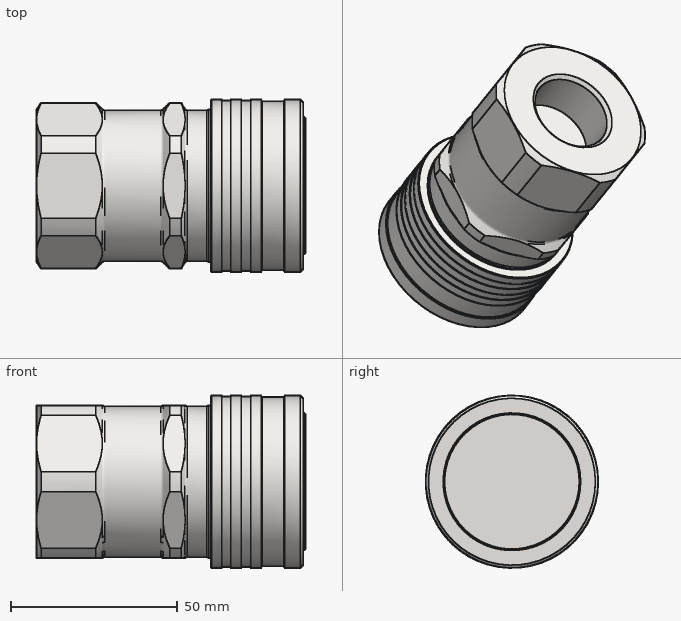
import cadquery as cq
import math


total_length = 81.0
nut_crown_start = 1.4
nut_crown_end = 17.85
collar_crown_start = 40.1
collar_crown_end = 43.6
bead_start = 51.3
bead_crest = 51.85
sleeve_start = 52.4
sleeve_end = 80.3

hex_sides = 6
across_flats = 46.0
hex_corner_radius = 25.0
inlet_face_radius = 22.9
body_radius = 22.75
bead_radius = 23.0
sleeve_radius = 26.0
lip_radius = 20.7

root_fillet = 1.0
collar_end_root_fillet = 0.8
root_angle = 45.0
collar_end_angle = 60.0
sleeve_start_chamfer = 0.3
sleeve_end_chamfer = 0.9
lip_chamfer = 0.45

grip_groove_starts = (55.7, 61.7)
grip_groove_width = 2.85
grip_groove_depth = 0.3
wide_groove_start = 67.6
wide_groove_end = 74.7
wide_groove_depth = 0.5
wide_groove_chamfer = 0.3
groove_clearance = 1.0

bore_radius = 12.05
bore_mouth_radius = 13.2
bore_depth = 15.3


def cylinder(start, end, radius):
    """Solid cylinder about the X axis."""
    return cq.Workplane("YZ", origin=(start, 0, 0)).circle(radius).extrude(end - start)


def revolve_profile(profile):
    """Revolve a closed half profile, drawn as (x, radius), about the X axis."""
    return profile.close().revolve(360, (0, 0, 0), (1, 0, 0))


def cone_root(crown_x, direction, angle, fillet):
    """Locate the fillet where a cone falls from the hexagon crown to the body.

    direction is +1 when the cone falls toward +X and -1 when it falls toward -X.
    Returns the fillet's (x, radius) points: on the cone, mid-arc, on the body.
    """
    slope = math.radians(angle)
    meeting_x = crown_x + direction * (hex_corner_radius - body_radius) / math.tan(slope)
    setback = fillet * math.tan(slope / 2)
    center_x = meeting_x + direction * setback
    center_radius = body_radius + fillet

    def arc_point(turn):
        return (
            center_x - direction * fillet * math.sin(turn),
            center_radius - fillet * math.cos(turn),
        )

    return arc_point(slope), arc_point(slope / 2), arc_point(0)


def make_body():
    """Turned body from the inlet face to the sleeve, before the flats are cut."""
    nut_root = cone_root(nut_crown_end, 1, root_angle, root_fillet)
    collar_root = cone_root(collar_crown_start, -1, root_angle, root_fillet)
    collar_end_root = cone_root(collar_crown_end, 1, collar_end_angle, collar_end_root_fillet)
    profile = (
        cq.Workplane("XY")
        .moveTo(0, 0)
        .lineTo(0, inlet_face_radius)
        .lineTo(nut_crown_start, hex_corner_radius)
        .lineTo(nut_crown_end, hex_corner_radius)
        .lineTo(*nut_root[0])
        .threePointArc(nut_root[1], nut_root[2])
        .lineTo(*collar_root[2])
        .threePointArc(collar_root[1], collar_root[0])
        .lineTo(collar_crown_start, hex_corner_radius)
        .lineTo(collar_crown_end, hex_corner_radius)
        .lineTo(*collar_end_root[0])
        .threePointArc(collar_end_root[1], collar_end_root[2])
        .lineTo(bead_start, body_radius)
        .lineTo(bead_crest, bead_radius)
        .lineTo(sleeve_start, bead_radius)
        .lineTo(sleeve_start, 0)
    )
    return revolve_profile(profile)


def cut_flats(body):
    """Trim the body to the hexagon; two flats face +Z and -Z."""
    corner_diameter = across_flats / math.cos(math.pi / hex_sides)
    hexagon = cq.Workplane("YZ").polygon(hex_sides, corner_diameter).extrude(sleeve_start)
    return body.intersect(hexagon)


def make_sleeve():
    """Locking sleeve with two grip grooves and one wide groove."""
    sleeve = cylinder(sleeve_start, sleeve_end, sleeve_radius)
    sleeve = sleeve.faces("<X").edges().chamfer(sleeve_start_chamfer)
    sleeve = sleeve.faces(">X").edges().chamfer(sleeve_end_chamfer)
    for start in grip_groove_starts:
        end = start + grip_groove_width
        ring = cylinder(start, end, sleeve_radius + groove_clearance).cut(
            cylinder(start, end, sleeve_radius - grip_groove_depth)
        )
        sleeve = sleeve.cut(ring)
    return sleeve.cut(make_wide_groove())


def make_wide_groove():
    """Ring removed by the wide groove, whose walls end in small chamfers at the floor."""
    floor_radius = sleeve_radius - wide_groove_depth
    profile = (
        cq.Workplane("XY")
        .moveTo(wide_groove_start, sleeve_radius + groove_clearance)
        .lineTo(wide_groove_start, floor_radius + wide_groove_chamfer)
        .lineTo(wide_groove_start + wide_groove_chamfer, floor_radius)
        .lineTo(wide_groove_end - wide_groove_chamfer, floor_radius)
        .lineTo(wide_groove_end, floor_radius + wide_groove_chamfer)
        .lineTo(wide_groove_end, sleeve_radius + groove_clearance)
    )
    return revolve_profile(profile)


def make_lip():
    """Low round lip on the outlet end."""
    return cylinder(sleeve_end, total_length, lip_radius).faces(">X").edges().chamfer(lip_chamfer)


def make_bore():
    """Blind inlet bore with a 45 degree lead-in."""
    lead_in = bore_mouth_radius - bore_radius
    profile = (
        cq.Workplane("XY")
        .lineTo(0, bore_mouth_radius)
        .lineTo(lead_in, bore_radius)
        .lineTo(bore_depth, bore_radius)
        .lineTo(bore_depth, 0)
    )
    return revolve_profile(profile)


result = cut_flats(make_body()).union(make_sleeve()).union(make_lip()).cut(make_bore())